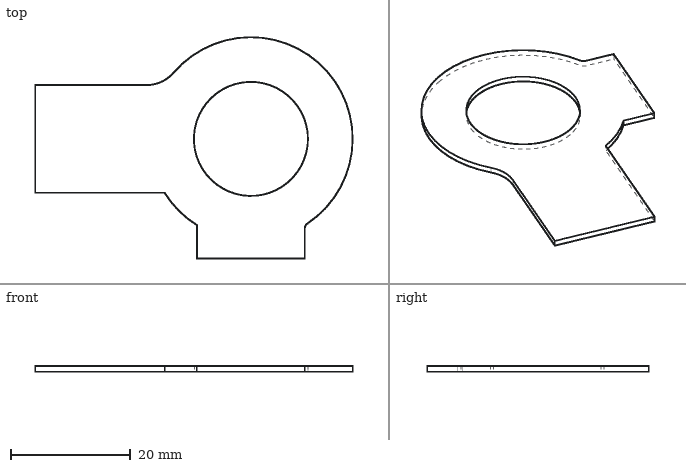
import cadquery as cq
import math

thickness = 1.0
ring_radius = 17.0
bore_diameter = 19.0
tab_width = 18.0
long_tab_reach = 36.0
short_tab_reach = 20.0
long_tab_fillet = 6.0
short_tab_fillet = 1.0

half_width = tab_width / 2
edge_crossing = math.sqrt(ring_radius**2 - half_width**2)


def make_ring():
    return cq.Workplane("XY").circle(ring_radius).extrude(thickness)


def make_long_tab():
    return (
        cq.Workplane("XY")
        .rect(long_tab_reach, tab_width)
        .extrude(thickness)
        .translate((-long_tab_reach / 2, 0, 0))
    )


def make_short_tab():
    return (
        cq.Workplane("XY")
        .rect(tab_width, short_tab_reach)
        .extrude(thickness)
        .translate((0, -short_tab_reach / 2, 0))
    )


def fillet_inner_corner(body, x, y, radius):
    """Round the upright edge where a tab edge meets the ring at (x, y)."""
    corner = cq.selectors.NearestToPointSelector((x, y, thickness / 2))
    return body.edges("|Z").edges(corner).fillet(radius)


def cut_bore(body):
    bore = cq.Workplane("XY").circle(bore_diameter / 2).extrude(thickness)
    return body.cut(bore)


plate = make_ring().union(make_long_tab()).union(make_short_tab())
plate = fillet_inner_corner(plate, -edge_crossing, half_width, long_tab_fillet)
plate = fillet_inner_corner(plate, half_width, -edge_crossing, short_tab_fillet)
result = cut_bore(plate)